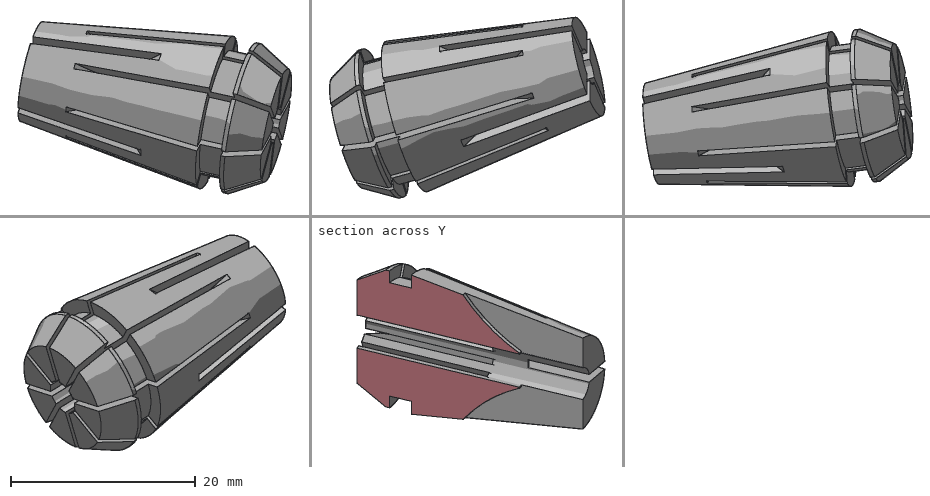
import cadquery as cq
import math

LENGTH = 27.5
CLEARANCE = 0.28

BORE_RADIUS = 1.98
TAPER_ANGLE = 8.0
TAPER_LENGTH = 20.82
TAPER_LARGE_RADIUS = 8.47
TAPER_SMALL_RADIUS = TAPER_LARGE_RADIUS - TAPER_LENGTH * math.tan(math.radians(TAPER_ANGLE))
GROOVE_END = 23.48
GROOVE_RADIUS = 6.9
RIM_END = 23.95
RIM_RADIUS = 8.33
NOSE_ANGLE = 30.0
NOSE_RADIUS = RIM_RADIUS - (LENGTH - RIM_END) * math.tan(math.radians(NOSE_ANGLE))

CUTTER_RADIUS = 20.0
FRONT_SLOT_COUNT = 4
FRONT_SLOT_WIDTH = 0.94
FRONT_SLOT_BORE_END = 7.54
FRONT_SLOT_STEP_RADIUS = 2.15
FRONT_SLOT_OUTER_END = 14.46
REAR_SLOT_COUNT = 8
REAR_SLOT_WIDTH = 0.6
REAR_SLOT_OUTER_END = 5.5
REAR_SLOT_BORE_END = 11.8
SLOT_TOP = TAPER_LARGE_RADIUS + CLEARANCE


def taper_radius(x):
    """Radius of the long taper at the axial position x."""
    return TAPER_SMALL_RADIUS + x * math.tan(math.radians(TAPER_ANGLE))


def turned_body():
    return (
        cq.Workplane("XZ")
        .moveTo(0, BORE_RADIUS)
        .lineTo(0, TAPER_SMALL_RADIUS)
        .lineTo(TAPER_LENGTH, TAPER_LARGE_RADIUS)
        .lineTo(TAPER_LENGTH, GROOVE_RADIUS)
        .lineTo(GROOVE_END, GROOVE_RADIUS)
        .lineTo(GROOVE_END, RIM_RADIUS)
        .lineTo(RIM_END, RIM_RADIUS)
        .lineTo(LENGTH, NOSE_RADIUS)
        .lineTo(LENGTH, BORE_RADIUS)
        .close()
        .revolve(360, (0, 0, 0), (1, 0, 0))
    )


def slot_cutter(open_end, bore_end, step_radius, outer_end, width, arc_radius):
    """Slot from open_end, with an arc floor rising from the bore to the taper surface."""
    return (
        cq.Workplane("XZ")
        .moveTo(open_end, 0)
        .lineTo(bore_end, 0)
        .lineTo(bore_end, step_radius)
        .radiusArc((outer_end, taper_radius(outer_end)), arc_radius)
        .lineTo(outer_end, SLOT_TOP)
        .lineTo(open_end, SLOT_TOP)
        .close()
        .extrude(width / 2, both=True)
    )


def cut_slots(body, cutter, count, first_angle):
    """Cut equally spaced copies of a slot around the X axis."""
    for index in range(count):
        angle = first_angle + index * 360 / count
        body = body.cut(cutter.rotate((0, 0, 0), (1, 0, 0), angle))
    return body


front_slot = slot_cutter(
    -CLEARANCE,
    FRONT_SLOT_BORE_END,
    FRONT_SLOT_STEP_RADIUS,
    FRONT_SLOT_OUTER_END,
    FRONT_SLOT_WIDTH,
    -CUTTER_RADIUS,
)
rear_slot = slot_cutter(
    LENGTH + CLEARANCE,
    REAR_SLOT_BORE_END,
    BORE_RADIUS,
    REAR_SLOT_OUTER_END,
    REAR_SLOT_WIDTH,
    CUTTER_RADIUS,
)

result = turned_body()
result = cut_slots(result, front_slot, FRONT_SLOT_COUNT, 0)
result = cut_slots(result, rear_slot, REAR_SLOT_COUNT, 180 / REAR_SLOT_COUNT)